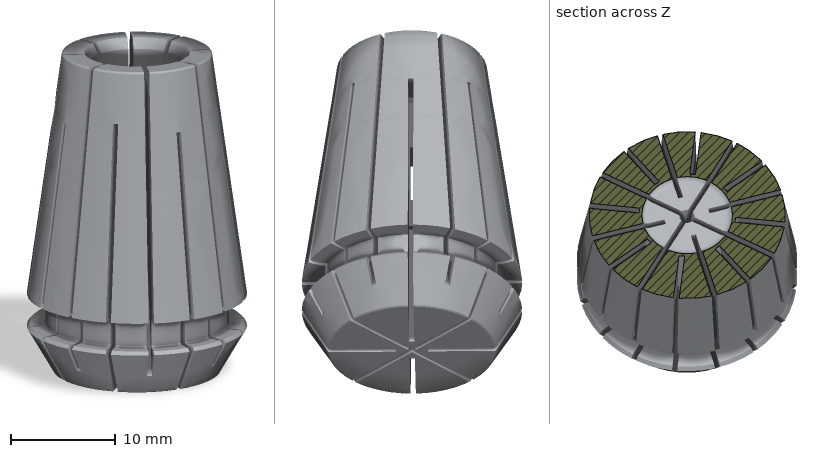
import cadquery as cq
import math


total_height = 31.5
max_radius = 10.505
nose_angle = 30.0
taper_angle = 8.0
taper_bottom = 7.55
flange_top = 4.72
flange_chamfer = 0.3
groove_radius = 8.75
groove_fillet = 0.2
bottom_chamfer = 0.1
top_fillet = 0.25

bore_radius = 4.5
bore_floor = 15.5
bore_floor_fillet = 0.82
bore_chamfer_width = 0.57
bore_chamfer_depth = 1.0
center_dimple_radius = 0.72
center_dimple_depth = 2.52

slit_width = 0.5
diagonal_slit_count = 4
upper_slit_count = 8
cross_slit_top = 26.52
diagonal_slit_top = 25.5
diagonal_inner_radius = 2.17
diagonal_undercut_radius = 1.55
diagonal_undercut_top = 12.55
upper_slit_bottom = 1.95
bore_breakthrough = 0.05
upper_slit_inner_radius = bore_radius - bore_breakthrough

clearance = 1.58
reach = max_radius + clearance

nose_slope = math.tan(math.radians(nose_angle))
taper_slope = math.tan(math.radians(taper_angle))
flange_rim = flange_top - flange_chamfer
bottom_radius = max_radius - flange_rim * nose_slope
top_radius = max_radius - (total_height - taper_bottom) * taper_slope


def make_body():
    """Solid of revolution: nose cone, flange, locking groove and long taper."""
    body = (
        cq.Workplane("XZ")
        .moveTo(0, 0)
        .lineTo(bottom_radius, 0)
        .lineTo(max_radius, flange_rim)
        .lineTo(max_radius - flange_chamfer, flange_top)
        .lineTo(groove_radius, flange_top)
        .lineTo(groove_radius, taper_bottom)
        .lineTo(max_radius, taper_bottom)
        .lineTo(top_radius, total_height)
        .lineTo(0, total_height)
        .close()
        .revolve(360, (0, 0), (0, 1))
    )
    body = body.faces(">Z").edges().fillet(top_fillet)
    body = body.faces("<Z").edges().chamfer(bottom_chamfer)
    flange_edges = body.edges(cq.selectors.BoxSelector(
        (-reach, -reach, flange_top - flange_chamfer / 2),
        (reach, reach, flange_top + flange_chamfer / 2),
    ))
    return flange_edges.edges(cq.selectors.RadiusNthSelector(0)).fillet(groove_fillet)


def make_bore():
    """Blind bore with a rounded floor corner, a wide mouth and a conical centre dimple."""
    round_start = bore_radius - bore_floor_fillet
    return (
        cq.Workplane("XZ")
        .moveTo(0, bore_floor - center_dimple_depth)
        .lineTo(center_dimple_radius, bore_floor)
        .lineTo(round_start, bore_floor)
        .radiusArc((bore_radius, bore_floor + bore_floor_fillet), -bore_floor_fillet)
        .lineTo(bore_radius, total_height - bore_chamfer_depth)
        .lineTo(bore_radius + bore_chamfer_width, total_height)
        .lineTo(0, total_height)
        .close()
        .revolve(360, (0, 0), (0, 1))
    )


def make_slit(profile, angle):
    """Radial slit cutter: a (radius, height) outline, slit_width thick, turned about Z."""
    cutter = cq.Workplane("XZ").polyline(profile).close().extrude(slit_width / 2, both=True)
    return cutter.rotate((0, 0, 0), (0, 0, 1), angle)


cross_profile = [
    (-reach, -clearance),
    (reach, -clearance),
    (reach, cross_slit_top),
    (-reach, cross_slit_top),
]

diagonal_profile = [
    (diagonal_undercut_radius, -clearance),
    (reach, -clearance),
    (reach, diagonal_slit_top),
    (diagonal_inner_radius, diagonal_slit_top),
    (diagonal_inner_radius, diagonal_undercut_top),
    (diagonal_undercut_radius, diagonal_undercut_top),
]

upper_slit_exit_radius = bottom_radius + upper_slit_bottom * nose_slope
upper_profile = [
    (upper_slit_inner_radius, total_height + clearance),
    (upper_slit_inner_radius, bore_floor + bore_floor_fillet),
    (upper_slit_exit_radius, upper_slit_bottom),
    (reach, upper_slit_bottom),
    (reach, total_height + clearance),
]

diagonal_pitch = 360 / diagonal_slit_count
upper_pitch = 360 / upper_slit_count

result = make_body().cut(make_bore())
for angle in (0, 90):
    result = result.cut(make_slit(cross_profile, angle))
for index in range(diagonal_slit_count):
    result = result.cut(make_slit(diagonal_profile, (index + 0.5) * diagonal_pitch))
for index in range(upper_slit_count):
    result = result.cut(make_slit(upper_profile, (index + 0.5) * upper_pitch))